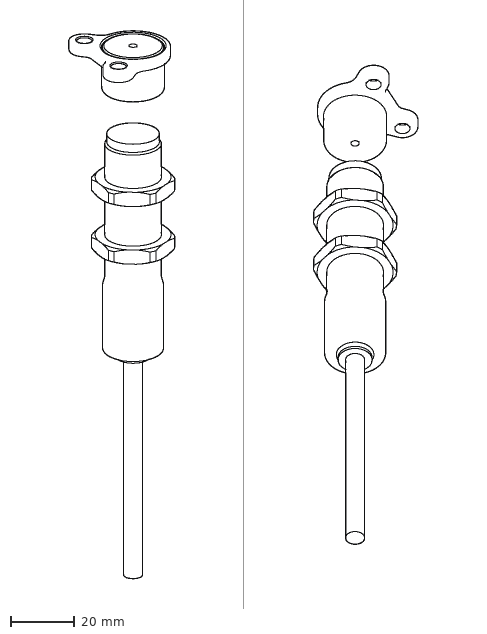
import cadquery as cq
import math

OVERALL_HEIGHT = 183.7

CABLE_DIAMETER = 6.0
GLAND_TOP_DIAMETER = 12.0
GLAND_DIAMETER = 10.8
GLAND_BOTTOM_Z = 75.9
GLAND_TAPER_BOTTOM_Z = 76.8
HOUSING_DIAMETER = 19.5
HOUSING_BOTTOM_Z = 78.0
HOUSING_TOP_Z = 100.7
HOUSING_EDGE_FILLET = 1.0
BARREL_DIAMETER = 18.0
BARREL_BOTTOM_Z = 103.5
BARREL_TOP_Z = 149.7
NOSE_DIAMETER = 16.7
NOSE_TOP_Z = 153.2

NUT_SIDES = 6
NUT_ACROSS_FLATS = 23.9
NUT_ACROSS_CORNERS = 26.5
NUT_FACE_DIAMETER = 24.0
NUT_THICKNESS = 5.0
NUT_CHAMFER_ANGLE = 30.0
LOWER_NUT_Z = 113.2
NUT_SPACING = 20.0
NUT_COUNT = 2

NECK_DIAMETER = 20.0
NECK_BOTTOM_Z = 168.0
NECK_EDGE_FILLET = 1.5
FLANGE_DIAMETER = 23.9
FLANGE_THICKNESS = 4.0
FLANGE_BOTTOM_FILLET = 1.0
FLANGE_TOP_FILLET = 0.4
LUG_ANGLE = math.radians(45)
LUG_RADIUS = 5.0
LUG_OFFSET = 11.4
LUG_HOLE_DIAMETER = 4.8
LUG_HOLE_CHAMFER = 0.4
LUG_HOLE_CHAMFER_ANGLE = 90.0
FRONT_EDGE_OFFSET = 12.9
SIDE_BLEND_RADIUS = 4.6
FRONT_BLEND_RADIUS = 2.5
VENT_DIAMETER = 2.5
GROOVE_FLOOR_INNER_DIAMETER = 19.5
GROOVE_FLOOR_OUTER_DIAMETER = 20.0
GROOVE_FLANK_WIDTH = 0.46
GROOVE_DEPTH = 0.5


def make_sensor():
    """Cable, gland, housing, barrel and nose, turned as one profile."""
    cable_r = CABLE_DIAMETER / 2
    gland_r = GLAND_DIAMETER / 2
    housing_r = HOUSING_DIAMETER / 2
    barrel_r = BARREL_DIAMETER / 2
    nose_r = NOSE_DIAMETER / 2
    shoulder = barrel_r - nose_r
    profile = [
        (0, 0),
        (cable_r, 0),
        (cable_r, GLAND_BOTTOM_Z),
        (gland_r, GLAND_BOTTOM_Z),
        (gland_r, GLAND_TAPER_BOTTOM_Z),
        (GLAND_TOP_DIAMETER / 2, HOUSING_BOTTOM_Z),
        (housing_r, HOUSING_BOTTOM_Z),
        (housing_r, HOUSING_TOP_Z),
        (barrel_r, BARREL_BOTTOM_Z),
        (barrel_r, BARREL_TOP_Z),
        (nose_r, BARREL_TOP_Z + shoulder),
        (nose_r, NOSE_TOP_Z),
        (0, NOSE_TOP_Z),
    ]
    turned = cq.Workplane("XZ").polyline(profile).close().revolve(360, (0, 0), (0, 1))
    widest_circles = turned.edges("%CIRCLE").edges(cq.selectors.RadiusNthSelector(-1))
    return widest_circles.edges("<Z").fillet(HOUSING_EDGE_FILLET)


def make_nut(bottom_z):
    """Hexagon nut with trimmed corners, chamfered on both faces, bored to fit the barrel."""
    half_sector = 180 / NUT_SIDES
    hexagon = (
        cq.Workplane("XY")
        .polygon(NUT_SIDES, NUT_ACROSS_FLATS, circumscribed=True)
        .extrude(NUT_THICKNESS)
        .rotate((0, 0, 0), (0, 0, 1), half_sector)
    )
    corner_r = NUT_ACROSS_CORNERS / 2
    face_r = NUT_FACE_DIAMETER / 2
    bore_r = BARREL_DIAMETER / 2
    chamfer_height = (corner_r - face_r) * math.tan(math.radians(NUT_CHAMFER_ANGLE))
    turned_profile = [
        (bore_r, 0),
        (face_r, 0),
        (corner_r, chamfer_height),
        (corner_r, NUT_THICKNESS - chamfer_height),
        (face_r, NUT_THICKNESS),
        (bore_r, NUT_THICKNESS),
    ]
    turned_ring = cq.Workplane("XZ").polyline(turned_profile).close().revolve(360, (0, 0), (0, 1))
    return hexagon.intersect(turned_ring).translate((0, 0, bottom_z))


def make_flange_outline():
    """Closed outline of a disc with two lugs at 45 degrees, blended by concave arcs."""
    diagonal = math.cos(LUG_ANGLE)
    disc_r = FLANGE_DIAMETER / 2

    blend_distance = disc_r + SIDE_BLEND_RADIUS
    flank_offset = LUG_RADIUS + SIDE_BLEND_RADIUS
    blend_angle = math.asin(flank_offset / blend_distance) - LUG_ANGLE
    blend_x = blend_distance * math.cos(blend_angle)
    blend_y = blend_distance * math.sin(blend_angle)
    disc_end = (disc_r * math.cos(blend_angle), disc_r * math.sin(blend_angle))
    flank_start = (blend_x - SIDE_BLEND_RADIUS * diagonal, blend_y - SIDE_BLEND_RADIUS * diagonal)
    blend_mid_angle = math.pi + (blend_angle + LUG_ANGLE) / 2
    blend_mid = (
        blend_x + SIDE_BLEND_RADIUS * math.cos(blend_mid_angle),
        blend_y + SIDE_BLEND_RADIUS * math.sin(blend_mid_angle),
    )

    tangent_offset = LUG_RADIUS * diagonal
    lug_start = (LUG_OFFSET + tangent_offset, -LUG_OFFSET + tangent_offset)
    lug_mid = (LUG_OFFSET + tangent_offset, -LUG_OFFSET - tangent_offset)
    lug_end = (LUG_OFFSET - tangent_offset, -LUG_OFFSET - tangent_offset)

    corner_x = FRONT_EDGE_OFFSET - LUG_RADIUS / diagonal
    half_turn = LUG_ANGLE / 2
    tangent_length = FRONT_BLEND_RADIUS * math.tan(half_turn)
    front_flank_end = (
        corner_x + tangent_length * diagonal,
        -FRONT_EDGE_OFFSET - tangent_length * diagonal,
    )
    front_edge_end = (corner_x - tangent_length, -FRONT_EDGE_OFFSET)
    front_blend_mid = (
        front_edge_end[0] + FRONT_BLEND_RADIUS * math.sin(half_turn),
        -FRONT_EDGE_OFFSET - FRONT_BLEND_RADIUS * (1 - math.cos(half_turn)),
    )

    def mirrored(point):
        return (-point[0], point[1])

    return (
        cq.Workplane("XY")
        .moveTo(*mirrored(disc_end))
        .threePointArc((0, disc_r), disc_end)
        .threePointArc(blend_mid, flank_start)
        .lineTo(*lug_start)
        .threePointArc(lug_mid, lug_end)
        .lineTo(*front_flank_end)
        .threePointArc(front_blend_mid, front_edge_end)
        .lineTo(*mirrored(front_edge_end))
        .threePointArc(mirrored(front_blend_mid), mirrored(front_flank_end))
        .lineTo(*mirrored(lug_end))
        .threePointArc(mirrored(lug_mid), mirrored(lug_start))
        .lineTo(*mirrored(flank_start))
        .threePointArc(mirrored(blend_mid), mirrored(disc_end))
        .close()
    )


def make_top_groove():
    """Shallow flat-bottomed ring with sloping flanks, cut into the top face of the cap."""
    inner_r = GROOVE_FLOOR_INNER_DIAMETER / 2
    outer_r = GROOVE_FLOOR_OUTER_DIAMETER / 2
    floor_z = OVERALL_HEIGHT - GROOVE_DEPTH
    profile = [
        (inner_r - GROOVE_FLANK_WIDTH, OVERALL_HEIGHT),
        (inner_r, floor_z),
        (outer_r, floor_z),
        (outer_r + GROOVE_FLANK_WIDTH, OVERALL_HEIGHT),
    ]
    return cq.Workplane("XZ").polyline(profile).close().revolve(360, (0, 0), (0, 1))


def make_end_cap():
    """Lugged flange on a round neck, with lug holes, a central vent and a ring groove."""
    flange_bottom_z = OVERALL_HEIGHT - FLANGE_THICKNESS
    flange = make_flange_outline().extrude(FLANGE_THICKNESS).translate((0, 0, flange_bottom_z))
    flange = flange.faces("<Z").edges().fillet(FLANGE_BOTTOM_FILLET)
    flange = flange.faces(">Z").edges().fillet(FLANGE_TOP_FILLET)

    neck = (
        cq.Workplane("XY")
        .workplane(offset=NECK_BOTTOM_Z)
        .circle(NECK_DIAMETER / 2)
        .extrude(flange_bottom_z - NECK_BOTTOM_Z)
        .faces("<Z")
        .edges()
        .fillet(NECK_EDGE_FILLET)
    )
    top_chamfer_diameter = LUG_HOLE_DIAMETER + 2 * LUG_HOLE_CHAMFER
    return (
        flange.union(neck)
        .faces(">Z")
        .workplane(origin=(0, 0, OVERALL_HEIGHT))
        .pushPoints([(-LUG_OFFSET, -LUG_OFFSET), (LUG_OFFSET, -LUG_OFFSET)])
        .cskHole(LUG_HOLE_DIAMETER, top_chamfer_diameter, LUG_HOLE_CHAMFER_ANGLE)
        .faces(">Z")
        .workplane(origin=(0, 0, OVERALL_HEIGHT))
        .hole(VENT_DIAMETER)
        .cut(make_top_groove())
    )


sensor = make_sensor()
nuts = [make_nut(LOWER_NUT_Z + index * NUT_SPACING) for index in range(NUT_COUNT)]
end_cap = make_end_cap()

result = cq.Compound.makeCompound([sensor.val(), *[nut.val() for nut in nuts], end_cap.val()])